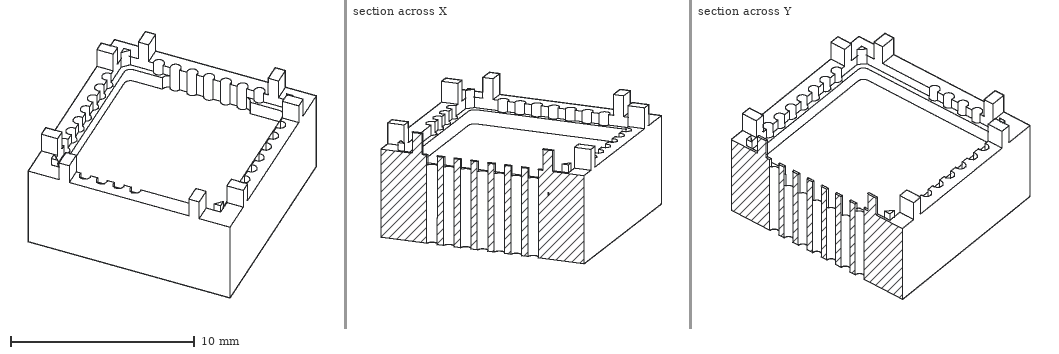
import cadquery as cq

side = 12.0
body_height = 5.1
cavity_side = 10.05
ledge_depth = 0.6
ledge_width = 0.31
floor_depth = 1.42
pocket_corner_radius = 0.38

relief_half_length = 2.62

post_height = 1.2
post_width = 0.61
post_offset = 1.84

lug_leg = 0.38
lug_rise = 0.45

hole_diameter = 0.6
hole_pitch = 1.0
hole_row_offset = 5.14
full_row = range(-3, 4)
partial_row = range(-3, 1)

half_side = side / 2
half_cavity = cavity_side / 2
wall = half_side - half_cavity
half_pocket = half_cavity - ledge_width
ledge_z = body_height - ledge_depth
floor_z = body_height - floor_depth
post_center = half_side - post_offset - post_width / 2
wall_center = half_side - wall / 2
signs = (-1, 1)


def box_on(z, size_x, size_y, height):
    """Box centred on the Z axis, standing on height z."""
    return cq.Workplane("XY").workplane(offset=z).rect(size_x, size_y).extrude(height)


def make_shell():
    """Block with the upper cavity and the deeper rounded pocket removed."""
    block = box_on(0, side, side, body_height)
    cavity = box_on(ledge_z, cavity_side, cavity_side, ledge_depth)
    pocket = box_on(floor_z, 2 * half_pocket, 2 * half_pocket, floor_depth)
    pocket = pocket.edges("|Z").fillet(pocket_corner_radius)
    return block.cut(cavity).cut(pocket)


def make_relief():
    """Rounded cutter reaching from the part centre to the +Y cavity wall."""
    cutter = box_on(floor_z, 2 * relief_half_length, half_cavity, floor_depth)
    return cutter.edges("|Z").fillet(pocket_corner_radius).translate((0, half_cavity / 2, 0))


def make_posts():
    """Two rectangular posts on each side of the rim."""
    along_x = [(sx * post_center, sy * wall_center) for sx in signs for sy in signs]
    along_y = [(sx * wall_center, sy * post_center) for sx in signs for sy in signs]
    rim = cq.Workplane("XY").workplane(offset=body_height)
    posts_x = rim.pushPoints(along_x).rect(post_width, wall).extrude(post_height)
    posts_y = rim.pushPoints(along_y).rect(wall, post_width).extrude(post_height)
    return posts_x.union(posts_y)


def make_lug(sx, sy):
    """Triangular lug rising from the ledge in one cavity corner."""
    corner_x = sx * half_cavity
    corner_y = sy * half_cavity
    return (
        cq.Workplane("XY")
        .workplane(offset=ledge_z)
        .moveTo(corner_x, corner_y)
        .lineTo(corner_x - sx * lug_leg, corner_y)
        .lineTo(corner_x, corner_y - sy * lug_leg)
        .close()
        .extrude(ledge_depth + lug_rise)
    )


def make_pin_holes():
    """Through holes: full rows on -X, +X and +Y, a partial row on -Y."""
    points = [(sx * hole_row_offset, i * hole_pitch) for sx in signs for i in full_row]
    points += [(i * hole_pitch, hole_row_offset) for i in full_row]
    points += [(i * hole_pitch, -hole_row_offset) for i in partial_row]
    return cq.Workplane("XY").pushPoints(points).circle(hole_diameter / 2).extrude(body_height)


result = make_shell().cut(make_relief()).union(make_posts())
for sx in signs:
    for sy in signs:
        result = result.union(make_lug(sx, sy))
result = result.cut(make_pin_holes())